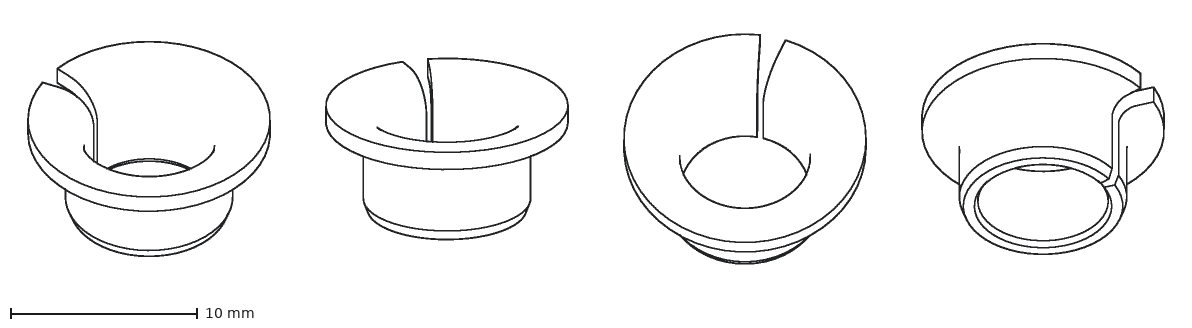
import cadquery as cq
import math

flange_radius = 6.48
height = 6.0
flange_thickness = 1.0
bore_radius = 3.49
sleeve_wall = 1.0
sleeve_radius = bore_radius + sleeve_wall

outer_flare_radius = 1.0
inner_flare_radius = outer_flare_radius + flange_thickness
flare_center_radius = sleeve_radius + outer_flare_radius
flare_center_z = height - inner_flare_radius

outer_lead_angle = 20.0
outer_lead_height = 0.6
outer_lead_width = outer_lead_height * math.tan(math.radians(outer_lead_angle))
inner_lead_angle = 30.0
inner_lead_height = 0.32
inner_lead_width = inner_lead_height * math.tan(math.radians(inner_lead_angle))

slit_apex_x = -2.5
slit_half_angle = 10.0
slit_end_x = -1.1 * flange_radius


def make_bushing():
    """Revolve the flanged wall section about Z, with the seam on the -X side."""
    diagonal = math.sqrt(0.5)

    def flare_midpoint(radius):
        return (flare_center_radius - radius * diagonal, flare_center_z + radius * diagonal)

    return (
        cq.Workplane("XZ")
        .moveTo(bore_radius + inner_lead_width, 0)
        .lineTo(sleeve_radius - outer_lead_width, 0)
        .lineTo(sleeve_radius, outer_lead_height)
        .lineTo(sleeve_radius, flare_center_z)
        .threePointArc(
            flare_midpoint(outer_flare_radius),
            (flare_center_radius, height - flange_thickness),
        )
        .lineTo(flange_radius, height - flange_thickness)
        .lineTo(flange_radius, height)
        .lineTo(flare_center_radius, height)
        .threePointArc(flare_midpoint(inner_flare_radius), (bore_radius, flare_center_z))
        .lineTo(bore_radius, inner_lead_height)
        .close()
        .revolve(360, (0, 0, 0), (0, 1, 0))
        .rotate((0, 0, 0), (0, 0, 1), 180)
    )


def make_slit():
    """Wedge that widens outward from its apex inside the bore."""
    half_width = (slit_apex_x - slit_end_x) * math.tan(math.radians(slit_half_angle))
    return (
        cq.Workplane("XY")
        .polyline([(slit_apex_x, 0), (slit_end_x, half_width), (slit_end_x, -half_width)])
        .close()
        .extrude(height)
    )


result = make_bushing().cut(make_slit())